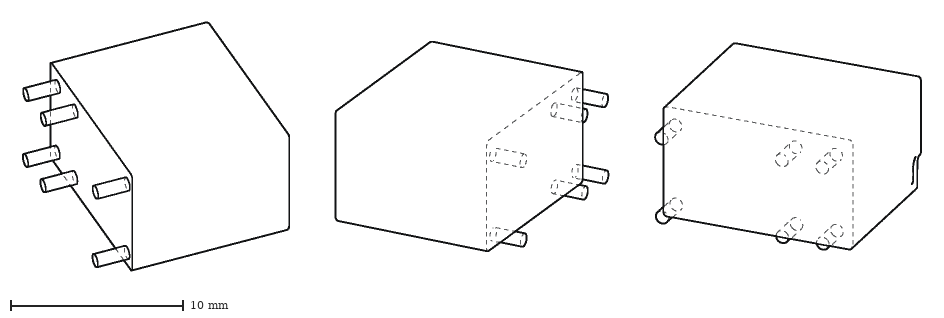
import cadquery as cq

length_x = 12.0
overall_y = 12.0
height_z = 7.0
pin_length = 2.0
body_y = overall_y - pin_length
edge_radius = 0.24

pin_diameter = 0.8
pin_places = [
    (-4.95, 2.4),
    (-2.38, 2.4),
    (5.25, 2.4),
    (-4.99, -2.42),
    (-2.42, -2.47),
    (5.2, -2.62),
]

recess_depth = 0.5
recess_width = 0.5
recess_height = 1.97
recess_straight_height = 0.96
recess_corner_radius = 0.25
recess_top_depth = 0.28
recess_foot_radius = 0.24

left = -length_x / 2
back = body_y / 2
front = -body_y / 2
bottom = -height_z / 2
recess_front = back - recess_width
recess_floor = left + recess_depth
recess_top = bottom + recess_height


def make_recess():
    """Cutter with a curved floor, limited to a strip with a rounded top corner."""
    curve_height = recess_height - recess_straight_height
    curve_rise = recess_depth - recess_top_depth
    curve_radius = (curve_height**2 + curve_rise**2) / (2 * curve_rise)
    curve_start = bottom + recess_straight_height
    floor_profile = (
        cq.Workplane("XZ", origin=(0, back, 0))
        .moveTo(left, bottom)
        .lineTo(recess_floor, bottom)
        .lineTo(recess_floor, curve_start)
        .radiusArc((left + recess_top_depth, recess_top), -curve_radius)
        .lineTo(left, recess_top)
        .close()
        .extrude(recess_width)
    )
    strip = (
        cq.Workplane("XY")
        .box(recess_depth, recess_width, recess_height, centered=False)
        .translate((left, recess_front, bottom))
        .edges("|X and >Z and <Y")
        .fillet(recess_corner_radius)
    )
    return strip.intersect(floor_profile)


def make_housing():
    """Recessed block, rounded on its outer edges except around the pin face."""
    block = cq.Workplane("XY").box(length_x, body_y, height_z).cut(make_recess())
    margin = 0.01
    recess_foot = cq.selectors.BoxSelector(
        (left + margin, recess_front - margin, bottom + margin),
        (recess_floor + margin, back - margin, recess_top + margin),
    )
    block = block.edges(recess_foot).edges("not |X").fillet(recess_foot_radius)
    outer_faces = block.faces("<X or >X or >Y or <Z or >Z")
    return outer_faces.edges("not <Y").fillet(edge_radius)


def make_pins():
    """All six pins, starting on the -Y face."""
    return (
        cq.Workplane("XZ", origin=(0, front, 0))
        .pushPoints(pin_places)
        .circle(pin_diameter / 2)
        .extrude(pin_length)
    )


result = make_housing().union(make_pins()).translate((0, pin_length / 2, 0))